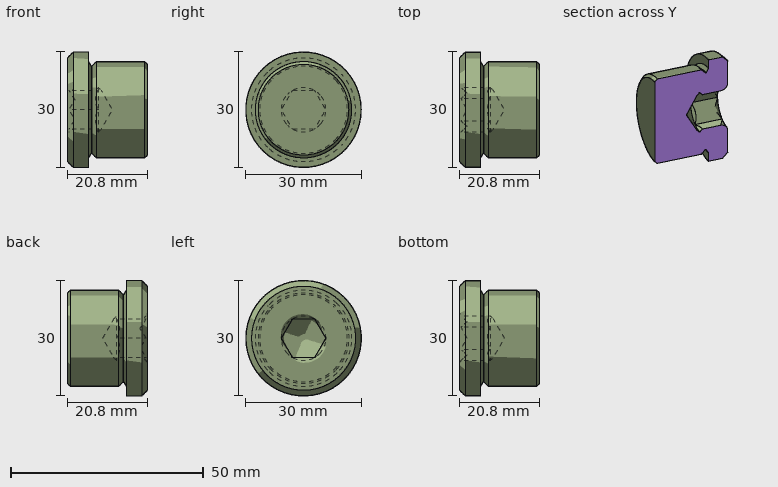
import cadquery as cq
import math

length = 20.8
head_diameter = 30.0
head_thickness = 5.52
head_chamfer = 1.5
body_radius = 12.5
body_chamfer = 0.75

groove_end = 7.5
groove_depth = 1.17
groove_wall_angle = 60.0

socket_flats = 10.0
hexagon_depth = 7.23
mouth_rounding = 2.0
drill_point_angle = 120.0

relief_depth = 0.78

head_radius = head_diameter / 2
socket_radius = socket_flats / 2


def make_plug():
    """Turned outer shape: chamfered head, undercut groove and chamfered body."""
    groove_radius = body_radius - groove_depth
    floor_start = head_thickness + groove_depth / math.tan(math.radians(groove_wall_angle))
    floor_end = groove_end - groove_depth
    return (
        cq.Workplane("XY")
        .moveTo(0, 0)
        .lineTo(0, head_radius - head_chamfer)
        .lineTo(head_chamfer, head_radius)
        .lineTo(head_thickness, head_radius)
        .lineTo(head_thickness, body_radius)
        .lineTo(floor_start, groove_radius)
        .lineTo(floor_end, groove_radius)
        .lineTo(groove_end, body_radius)
        .lineTo(length - body_chamfer, body_radius)
        .lineTo(length, body_radius - body_chamfer)
        .lineTo(length, 0)
        .close()
        .revolve(360, (0, 0, 0), (1, 0, 0))
    )


def make_socket_hexagon():
    """Hexagonal prism with corners on the Y axis, reaching the middle of the relief groove."""
    across_corners = socket_flats / math.cos(math.radians(30))
    return cq.Workplane("YZ").polygon(6, across_corners).extrude(hexagon_depth + relief_depth)


def make_socket_bore():
    """Round core of the socket: flared mouth, bore touching the flats, relief, drill point."""
    mouth_radius = socket_radius + mouth_rounding
    arc_offset = mouth_rounding * math.sqrt(0.5)
    point_depth = socket_radius / math.tan(math.radians(drill_point_angle / 2))
    relief_peak = hexagon_depth + relief_depth
    relief_end = relief_peak + relief_depth
    return (
        cq.Workplane("XY")
        .moveTo(0, 0)
        .lineTo(0, mouth_radius)
        .threePointArc(
            (mouth_rounding - arc_offset, mouth_radius - arc_offset),
            (mouth_rounding, socket_radius),
        )
        .lineTo(hexagon_depth, socket_radius)
        .lineTo(relief_peak, socket_radius + relief_depth)
        .lineTo(relief_end, socket_radius)
        .lineTo(relief_end + point_depth, 0)
        .close()
        .revolve(360, (0, 0, 0), (1, 0, 0))
    )


result = make_plug().cut(make_socket_hexagon()).cut(make_socket_bore())